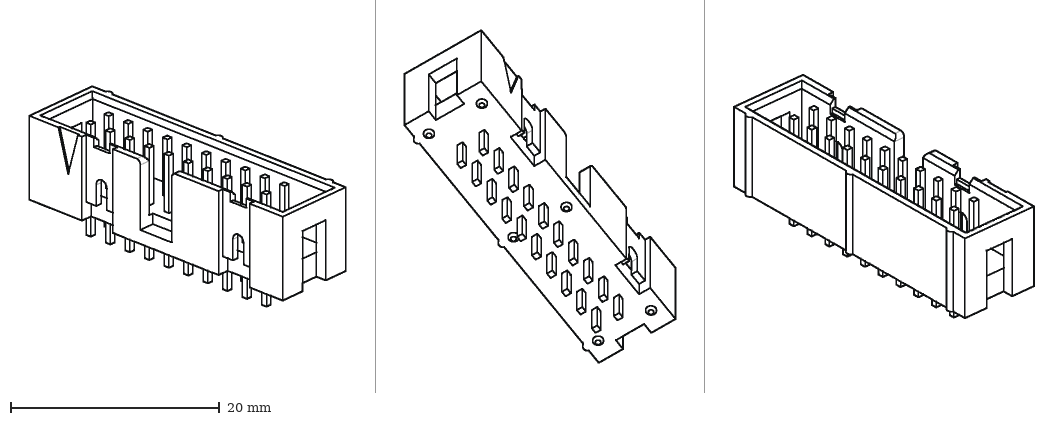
import cadquery as cq

length = 33.02
depth = 8.9
height = 8.9
front = -depth / 2
back = depth / 2

end_wall = 1.22
side_wall = 1.3
floor_height = 2.6
mouth_chamfer = 0.5

notch_width = 4.1
notch_depth = 1.78
notch_bottom = 1.5
notch_fillet = 0.5

recess_centers = (-7.63, 10.17)
recess_width = 4.03
recess_depth = 0.6
relief_height = 1.78
relief_depth = side_wall
slot_width = 1.4
slot_top = 4.75
rim_notch_width = 2.08
rim_notch_depth = 1.0
rim_step_width = 0.25
rim_step_depth = 0.5

end_slot_width = 3.27
end_slot_top = 6.4

pin_columns = 10
pin_rows = 2
pin_pitch = 2.55
pin_size = 0.63
pin_top = 8.72
pin_tail = 3.2

arrow_x = -(pin_columns - 1) / 2 * pin_pitch
arrow_width = 2.55
arrow_height = 4.55
arrow_depth = 0.2

stations = (-14.35, 0.0, 14.35)
rib_radius = 0.5
rib_projection = 0.3
foot_offset = 3.07
foot_radius = 0.53
foot_tip_radius = 0.25
foot_height = 0.3


def block(x_range, y_range, z_range):
    """Axis-aligned box spanning the given ranges."""
    sizes = [high - low for low, high in (x_range, y_range, z_range)]
    corner = (x_range[0], y_range[0], z_range[0])
    return cq.Workplane("XY").box(*sizes, centered=False).translate(corner)


def centered_span(center, width):
    return (center - width / 2, center + width / 2)


def shell():
    """Open-topped box with a chamfered cavity mouth."""
    inner_length = length - 2 * end_wall
    inner_depth = depth - 2 * side_wall
    body = cq.Workplane("XY").box(length, depth, height, centered=(True, True, False))
    cavity = (
        cq.Workplane("XY", origin=(0, 0, floor_height))
        .rect(inner_length, inner_depth)
        .extrude(height - floor_height)
    )
    mouth = (
        cq.Workplane("XY", origin=(0, 0, height - mouth_chamfer))
        .rect(inner_length, inner_depth)
        .workplane(offset=mouth_chamfer)
        .rect(inner_length + 2 * mouth_chamfer, inner_depth + 2 * mouth_chamfer)
        .loft(ruled=True)
    )
    return body.cut(cavity).cut(mouth)


def notch_cutter():
    """Polarising notch whose sides flare into the rim with a round."""
    half = notch_width / 2
    shoulder = height - notch_fillet
    outer = half + notch_fillet
    diagonal = notch_fillet * 0.5 ** 0.5
    return (
        cq.Workplane("XZ", origin=(0, front, 0))
        .moveTo(-half, notch_bottom)
        .lineTo(half, notch_bottom)
        .lineTo(half, shoulder)
        .threePointArc((outer - diagonal, shoulder + diagonal), (outer, height))
        .lineTo(-outer, height)
        .threePointArc((diagonal - outer, shoulder + diagonal), (-half, shoulder))
        .close()
        .extrude(-notch_depth)
    )


def latch_cutter(x):
    """Front recess with its bottom relief, round-topped slot and stepped rim notch."""
    recess_x = centered_span(x, recess_width)
    inner_face = front + side_wall
    wall_y = (front, inner_face)
    recess = block(recess_x, (front, front + recess_depth), (0, height))
    relief = block(recess_x, (front, front + relief_depth), (0, relief_height))
    rim_x = centered_span(x, rim_notch_width)
    rim_bottom = height - rim_notch_depth
    rim_notch = block(rim_x, wall_y, (rim_bottom, height))
    rim_step = block(rim_x, (inner_face - rim_step_width, inner_face), (rim_bottom - rim_step_depth, height))
    slot_radius = slot_width / 2
    slot_shoulder = slot_top - slot_radius
    slot = block(centered_span(x, slot_width), wall_y, (0, slot_shoulder))
    slot_end = (
        cq.Workplane("XZ", origin=(x, front, slot_shoulder))
        .circle(slot_radius)
        .extrude(-side_wall)
    )
    return recess.union(relief).union(rim_notch).union(rim_step).union(slot).union(slot_end)


def end_slot_cutter(side):
    x_range = sorted((side * length / 2, side * (length / 2 - end_wall)))
    return block(x_range, centered_span(0, end_slot_width), (0, end_slot_top))


def arrow_cutter():
    """Shallow triangle pointing down at pin 1."""
    half = arrow_width / 2
    return (
        cq.Workplane("XZ", origin=(arrow_x, front, height))
        .polyline([(-half, 0), (half, 0), (0, -arrow_height)])
        .close()
        .extrude(-arrow_depth)
    )


def pins():
    return (
        cq.Workplane("XY", origin=(0, 0, -pin_tail))
        .rarray(pin_pitch, pin_pitch, pin_columns, pin_rows)
        .rect(pin_size, pin_size)
        .extrude(pin_top + pin_tail)
    )


def rib(x):
    """Full-height round rib standing slightly proud of the back wall."""
    center_y = back + rib_projection - rib_radius
    return cq.Workplane("XY").center(x, center_y).circle(rib_radius).extrude(height)


def foot(x, y):
    """Tapered standoff under the housing."""
    return (
        cq.Workplane("XY", origin=(x, y, -foot_height))
        .circle(foot_tip_radius)
        .workplane(offset=foot_height)
        .circle(foot_radius)
        .loft()
    )


result = shell()
result = result.cut(notch_cutter()).cut(arrow_cutter())
for center in recess_centers:
    result = result.cut(latch_cutter(center))
for side in (-1, 1):
    result = result.cut(end_slot_cutter(side))
for station in stations:
    result = result.union(rib(station))
    for y in (-foot_offset, foot_offset):
        result = result.union(foot(station, y))
result = result.union(pins())